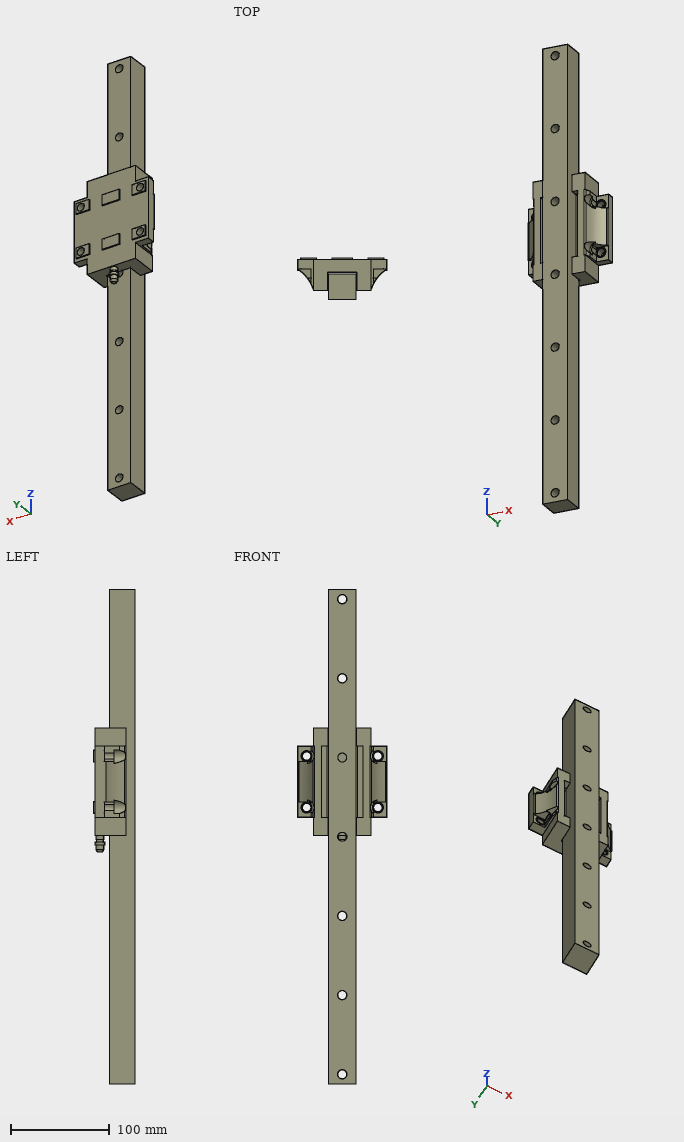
import cadquery as cq
import math


rail_length = 500.0
rail_width = 28.0
rail_height = 26.0
rail_hole_diameter = 9.0
rail_hole_pitch = 80.0
rail_hole_count = 7

body_rear = 40.5
body_width = 58.5
body_length = 109.0
body_front = 9.0
body_center_z = 55.5
wing_span = 90.0
wing_length = 72.0
wing_center_z = 55.5
wing_thickness = 11.0

channel_side_gap = 0.5
channel_floor_gap = 1.5
leg_step_half_width = 21.0
leg_step_depth = 7.5
ball_gap_half_width = 15.5

wing_lip_width = 1.5
gusset_foot_half_width = 29.5
gusset_sag = 2.0
foot_chamfer = 1.5

bolt_spacing_x = 72.0
bolt_spacing_z = 52.0
bolt_hole_diameter = 8.5
notch_floor_y = 31.0
bolt_seat_y = 32.0
bolt_seat_radius = 5.5
bolt_clearance_radius = 7.5
bolt_clearance_y = 21.5
notch_wall_half_width = 31.5

pad_height = 1.5
pad_length = 12.0
side_pad_width = 16.0
side_pad_offset = 34.0
middle_pad_width = 21.0

nipple_y = 35.5
nipple_shank_radius = 4.0
nipple_neck_radius = 3.5
nipple_collar_radius = 5.0
nipple_tip_radius = 2.5
nipple_shank_length = 4.0
nipple_neck_length = 2.5
nipple_collar_length = 3.0
nipple_head_length = 4.5
nipple_tip_length = 2.5

wing_bottom = body_rear - wing_thickness
channel_floor = rail_height + channel_floor_gap
body_bottom_z = body_center_z - body_length / 2
wing_bottom_z = wing_center_z - wing_length / 2


def box(x_range, y_range, z_range):
    """Axis-aligned block between the given limits."""
    (x0, x1), (y0, y1), (z0, z1) = x_range, y_range, z_range
    return cq.Workplane("XY").box(x1 - x0, y1 - y0, z1 - z0, centered=False).translate((x0, y0, z0))


def y_cylinder(radius, x, z, y_start, y_end):
    """Cylinder along +Y between two Y levels."""
    axis_start = cq.Vector(x, y_start, z)
    return cq.Workplane(cq.Solid.makeCylinder(radius, y_end - y_start, axis_start, cq.Vector(0, 1, 0)))


def make_rail():
    rail = box(
        (-rail_width / 2, rail_width / 2),
        (0, rail_height),
        (-rail_length / 2, rail_length / 2),
    )
    first_hole_z = -rail_hole_pitch * (rail_hole_count - 1) / 2
    for i in range(rail_hole_count):
        hole_z = first_hole_z + i * rail_hole_pitch
        rail = rail.cut(y_cylinder(rail_hole_diameter / 2, 0, hole_z, 0, rail_height))
    return rail


def make_winged_section():
    """Middle of the carriage: wings and concave gussets tapering down to the legs."""
    half_span = wing_span / 2
    gusset_top_x = half_span - wing_lip_width
    foot_x = gusset_foot_half_width
    foot_y = body_front + foot_chamfer
    chord_x = gusset_top_x - foot_x
    chord_y = wing_bottom - foot_y
    chord = math.hypot(chord_x, chord_y)
    arc_x = (gusset_top_x + foot_x) / 2 - gusset_sag * chord_y / chord
    arc_y = (wing_bottom + foot_y) / 2 + gusset_sag * chord_x / chord
    return (
        cq.Workplane("XY", origin=(0, 0, wing_bottom_z))
        .moveTo(0, body_rear)
        .lineTo(half_span, body_rear)
        .lineTo(half_span, wing_bottom)
        .lineTo(gusset_top_x, wing_bottom)
        .threePointArc((arc_x, arc_y), (foot_x, foot_y))
        .lineTo(foot_x - foot_chamfer, body_front)
        .lineTo(0, body_front)
        .mirrorY()
        .extrude(wing_length)
    )


def make_end_section(z_start, z_end):
    """One of the plain ends of the carriage beyond the wings."""
    return box((-body_width / 2, body_width / 2), (body_front, body_rear), (z_start, z_end))


def cut_channel(carriage):
    """Rail channel, with wider stepped clearance between the two ends."""
    wing_z = (wing_bottom_z, wing_bottom_z + wing_length)
    channel_half = rail_width / 2 + channel_side_gap
    channel = box(
        (-channel_half, channel_half),
        (body_front, channel_floor),
        (body_bottom_z, body_bottom_z + body_length),
    )
    ball_gap = box((-ball_gap_half_width, ball_gap_half_width), (body_front, channel_floor), wing_z)
    leg_step = box(
        (-leg_step_half_width, leg_step_half_width),
        (body_front, body_front + leg_step_depth),
        wing_z,
    )
    return carriage.cut(channel).cut(ball_gap).cut(leg_step)


def make_pads():
    """Six pads in three columns, in line with the bolt holes along Z."""
    columns = [
        (-side_pad_offset, side_pad_width),
        (0, middle_pad_width),
        (side_pad_offset, side_pad_width),
    ]
    pads = cq.Workplane("XY")
    for pad_x, pad_width in columns:
        for side_z in (-1, 1):
            pad_z = wing_center_z + side_z * bolt_spacing_z / 2
            pads = pads.add(
                box(
                    (pad_x - pad_width / 2, pad_x + pad_width / 2),
                    (body_rear, body_rear + pad_height),
                    (pad_z - pad_length / 2, pad_z + pad_length / 2),
                )
            )
    return pads


def cut_bolt_place(carriage, side_x, side_z):
    """Bolt hole with a flat notch and round head clearance cut into the gusset."""
    x = side_x * bolt_spacing_x / 2
    z = wing_center_z + side_z * bolt_spacing_z / 2
    notch_x = sorted((side_x * notch_wall_half_width, side_x * wing_span / 2))
    notch_z = sorted((z - side_z * bolt_seat_radius, wing_center_z + side_z * wing_length / 2))
    notch = box(notch_x, (body_front, notch_floor_y), notch_z)
    seat = y_cylinder(bolt_seat_radius, x, z, body_front, bolt_seat_y)
    clearance = y_cylinder(bolt_clearance_radius, x, z, body_front, bolt_clearance_y)
    hole = y_cylinder(bolt_hole_diameter / 2, x, z, body_front, body_rear + pad_height)
    return carriage.cut(notch).cut(seat).cut(clearance).cut(hole)


def make_carriage():
    wing_top_z = wing_bottom_z + wing_length
    carriage = make_winged_section()
    for pad in make_pads().vals():
        carriage = carriage.union(pad)
    for side_x in (-1, 1):
        for side_z in (-1, 1):
            carriage = cut_bolt_place(carriage, side_x, side_z)
    carriage = carriage.union(make_end_section(body_bottom_z, wing_bottom_z))
    carriage = carriage.union(make_end_section(wing_top_z, body_bottom_z + body_length))
    return cut_channel(carriage)


def make_grease_nipple():
    """Turned nipple standing on the lower end face of the carriage, pointing down."""
    neck_start = -nipple_shank_length
    collar_start = neck_start - nipple_neck_length
    head_start = collar_start - nipple_collar_length
    tip_start = head_start - nipple_head_length
    tip_end = tip_start - nipple_tip_length
    return (
        cq.Workplane("XZ", origin=(0, nipple_y, body_bottom_z))
        .lineTo(nipple_shank_radius, 0)
        .lineTo(nipple_shank_radius, neck_start)
        .lineTo(nipple_neck_radius, neck_start)
        .lineTo(nipple_neck_radius, collar_start)
        .lineTo(nipple_collar_radius, collar_start)
        .lineTo(nipple_collar_radius, head_start)
        .lineTo(nipple_shank_radius, head_start)
        .lineTo(nipple_shank_radius, tip_start)
        .lineTo(nipple_tip_radius, tip_end)
        .lineTo(0, tip_end)
        .close()
        .revolve(360, (0, 0, 0), (0, 1, 0))
    )


rail = make_rail()
carriage = make_carriage()
grease_nipple = make_grease_nipple()

result = cq.Compound.makeCompound([rail.val(), carriage.val(), grease_nipple.val()])